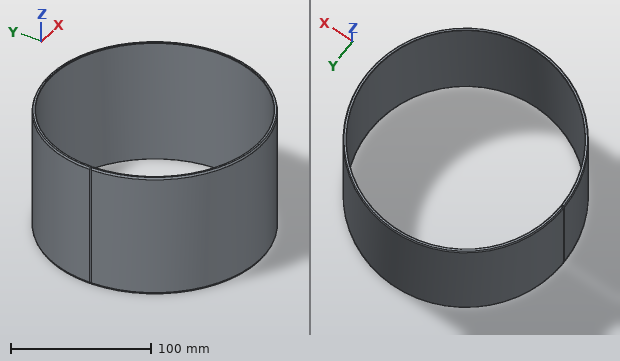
import cadquery as cq

outer_diameter = 175.0
wall = 2.5
height = 100.0
slit_width = 1.31
edge_chamfer = 1.5
edge_inset = 0.7
bore_bevel = 0.4

outer_radius = outer_diameter / 2
inner_radius = outer_radius - wall


def bevelled_sleeve():
    """Thin sleeve with inner and outer rims bevelled, standing on Z = 0."""
    profile = [
        (inner_radius, bore_bevel),
        (inner_radius + bore_bevel, 0),
        (outer_radius - edge_inset, 0),
        (outer_radius, edge_chamfer),
        (outer_radius, height - edge_chamfer),
        (outer_radius - edge_inset, height),
        (inner_radius + bore_bevel, height),
        (inner_radius, height - bore_bevel),
    ]
    return cq.Workplane("XZ").polyline(profile).close().revolve(360, (0, 0), (0, 1))


def slit():
    """Full-height cut through the wall on the -X side, with one face on the Y = 0 plane."""
    return (
        cq.Workplane("XY")
        .center(-(outer_radius - wall / 2), slit_width / 2)
        .rect(2 * wall, slit_width)
        .extrude(height)
    )


result = bevelled_sleeve().cut(slit())